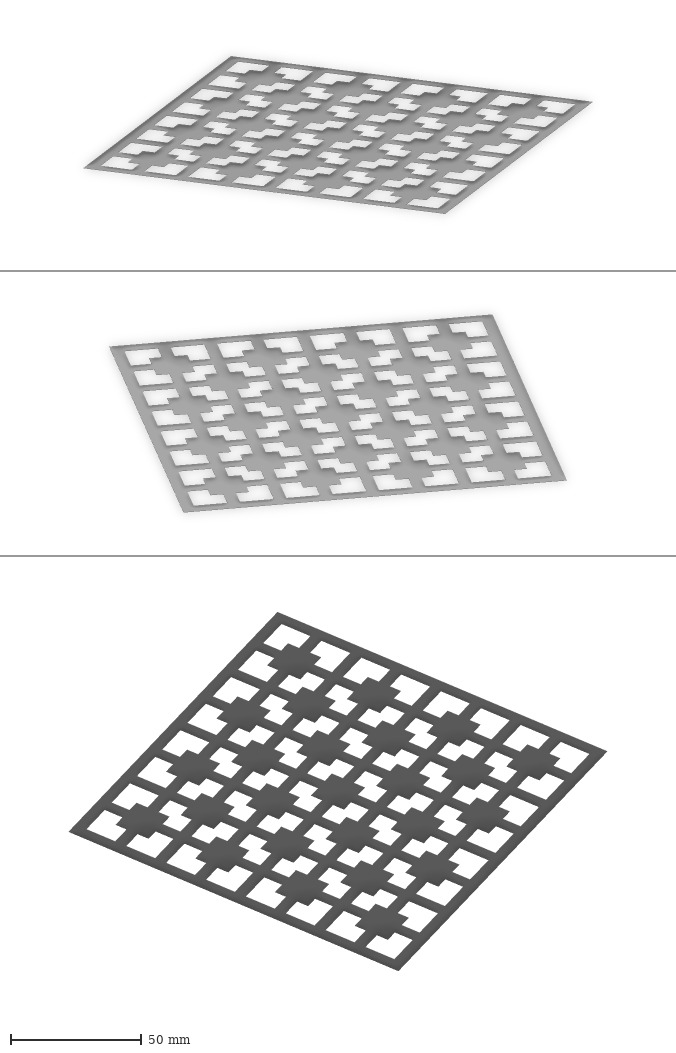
import cadquery as cq

side = 150.0
thickness = 0.2
bar_width = 5.0
windows_per_side = 8
pad_side = 15.0

pitch = (side - bar_width) / windows_per_side
window_side = pitch - bar_width


def crossing_position(index):
    """Centre coordinate of a grid bar; index 0 is one border, the last index the other."""
    return (index - windows_per_side / 2) * pitch


def grid_panel():
    """Square sheet pierced by a regular array of square windows."""
    sheet = cq.Workplane("XY").rect(side, side).extrude(thickness)
    windows = (
        cq.Workplane("XY")
        .rarray(pitch, pitch, windows_per_side, windows_per_side)
        .rect(window_side, window_side)
        .extrude(thickness)
    )
    return sheet.cut(windows)


def crossing_pads():
    """Square pads in a checkerboard over the inner bar crossings, starting at the corners."""
    inner_crossings = range(1, windows_per_side)
    centres = [
        (crossing_position(column), crossing_position(row))
        for column in inner_crossings
        for row in inner_crossings
        if (column + row) % 2 == 0
    ]
    return cq.Workplane("XY").pushPoints(centres).rect(pad_side, pad_side).extrude(thickness)


result = grid_panel().union(crossing_pads(), clean=True)